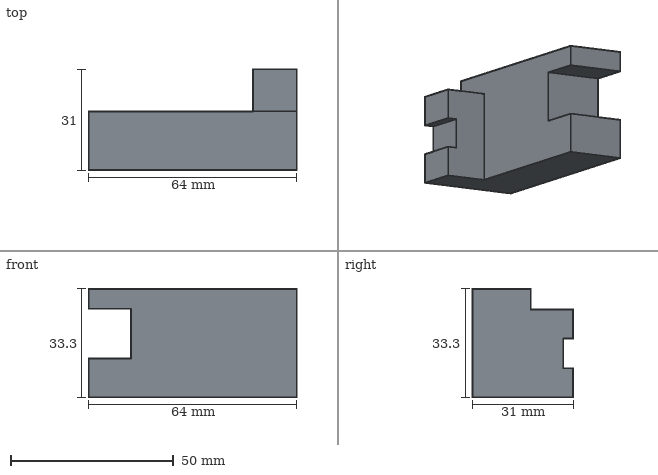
import cadquery as cq

block_length = 64.0
block_width = 18.0
block_height = 33.3

slot_depth = 13.0
slot_bottom = 12.0
slot_height = 15.2

lug_length = 13.5
lug_reach = 13.0
lug_height = 27.0

groove_depth = 3.0
groove_height = lug_height / 3
groove_bottom = (lug_height - groove_height) / 2


def box_at(corner, length, width, height):
    """Box that grows along +X, +Y and +Z from its lowest corner."""
    return cq.Workplane("XY").box(length, width, height, centered=False).translate(corner)


def make_block():
    block = box_at((0, 0, 0), block_length, block_width, block_height)
    slot = box_at((0, 0, slot_bottom), slot_depth, block_width, slot_height)
    return block.cut(slot)


def make_lug():
    lug_start = block_length - lug_length
    lug = box_at((lug_start, block_width, 0), lug_length, lug_reach, lug_height)
    groove_floor = block_width + lug_reach - groove_depth
    groove = box_at((lug_start, groove_floor, groove_bottom), lug_length, groove_depth, groove_height)
    return lug.cut(groove)


result = make_block().union(make_lug())